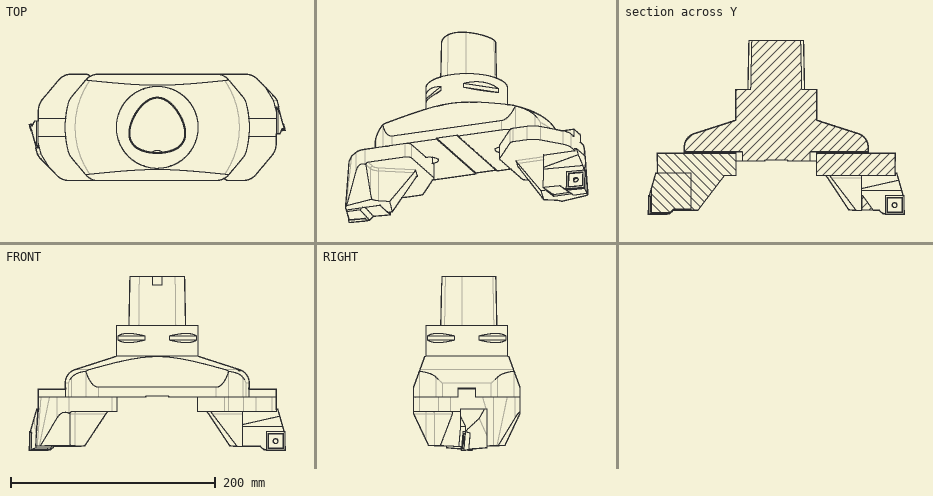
import cadquery as cq
import math


HALF_WIDTH = 52.0
CHAMFER_ANGLE = 50.0
CORNER_R = 16.0
FAR = 500.0

HOUSING_R = 90.0
CHAMFER_START_X = 65.0
SHOULDER_Z = 40.0
CONE_EDGE_R = 80.2
CONE_EDGE_Z = 27.0
DRAFT_Z = 9.7
DRAFT_ANGLE = 20.0
COLLAR_R = 40.0
COLLAR_TOP_Z = 70.0
RELIEF_WIDTH = 22.0
RELIEF_DEPTH = 1.0

GROOVE_Z = 57.7
GROOVE_FLOOR_R = 35.5
GROOVE_FLOOR_HEIGHT = 4.0
GROOVE_MOUTH_HEIGHT = 9.0
GROOVE_TURNS = (45, 135, 225, 315)

SHANK_LENGTH = 48.0
SHANK_MEAN_R = 27.5
LOBE_HEIGHT = 2.0
SHANK_TAPER = 1.0
LOBE_HALF_ANGLE = 24.0
LOBE_TURNS = (0, 120, 240)
CURVE_STEPS = 8
NOTCH_R = 7.0
NOTCH_DEPTH = 8.5
NOTCH_FLOOR_Y = -22.5

SLIDE_INNER_X = 39.2
SLIDE_OUTER_X = 116.2
PLATE_THICKNESS = 14.0
KEY_WIDTH = 17.5
KEY_HEIGHT = 7.7
SLOT_DEPTH = 9.0
PLAIN_CHAMFER_X = 91.5
INNER_CHAMFER_X = 67.0
INNER_CHAMFER_ANGLE = 55.0
INNER_CORNER_R = 5.0
OUTER_CORNER_R = 18.0
FOOT_BOTTOM_Z = -48.2
UNDERSIDE_RISE = 1.5
BEVEL_POINTS = [(85.0, 37.2, -47.5), (114.0, 30.5, -47.5), (85.0, HALF_WIDTH, -16.2)]
FOOT_BACK_X = 85.2
WALL_ANGLE = 30.0
WALL_CORNER_Y = 34.2
WALL_CORNER_R = 10.0
FOOT_FRONT_Y = 0.0
END_PLANE_ANGLE = 15.0
END_PLANE_LEAN = 36.4
END_PLANE_REACH = 50.2
UNDERCUT_R = 2.2

CARTRIDGE_INNER_X = 83.2
CARTRIDGE_TOP_Z = -11.7
CARTRIDGE_BOTTOM_Z = -47.7
CARTRIDGE_FRONT_Y = -6.2
CARTRIDGE_BACK_Y = 20.0
CARTRIDGE_BLANK_X = 130.0
STEP_INNER_Z = -26.7
STEP_BLANK_Z = -16.2
TOP_FACET_X = 117.7
TOP_FACET_LEAN = 16.0
FLANK_X = 124.2
FLANK_Y = -2.5
FLANK_ANGLE = 15.0
CORNER_FACET_POINTS = [(117.7, 17.2, CARTRIDGE_TOP_Z), (120.5, 11.7, -21.0), (118.2, CARTRIDGE_BACK_Y, -38.5)]
RAMP_START_X = 100.2
RAMP_END_X = 104.2
NOSE_Z = -51.2
RAKE_TOP_Z = -28.5
RAKE_START_Y = -6.0
RADIAL_RAKE = 7.0
AXIAL_RAKE = 5.0
RELIEF_ANGLE = 4.5

TIP_X = 125.0
TIP_Z = -52.0
INSERT_SIZE = 18.5
INSERT_THICKNESS = 5.0
INSERT_CLEARANCE = 11.0
INSERT_HOLE_D = 4.7
INSERT_HOLE_DEPTH = 2.5
RECESS_SIZE = 15.0
RECESS_DEPTH = 0.5
RECESS_WALL_ANGLE = 45.0


def tan(angle):
    return math.tan(math.radians(angle))


def half_space(point, normal):
    """A large block that lies wholly on the outward side of a plane."""
    return cq.Workplane(cq.Plane(origin=point, normal=normal)).rect(FAR, FAR).extrude(FAR)


def beyond_plane(a, b, c):
    """Half space outside the plane through three points, on its +X side."""
    corner = cq.Vector(a)
    normal = (cq.Vector(b) - corner).cross(cq.Vector(c) - corner)
    if normal.x < 0:
        normal = normal * -1
    return half_space(a, normal.toTuple())


def block(x0, x1, y0, y1, z0, z1):
    return cq.Workplane("XY").box(x1 - x0, y1 - y0, z1 - z0, centered=False).translate((x0, y0, z0))


def both_sides(body):
    return [body.rotate((0, 0, 0), (0, 0, 1), turn) for turn in (0, 180)]



def housing_base():
    apex_x = CHAMFER_START_X + HALF_WIDTH / tan(CHAMFER_ANGLE)
    plan = [
        (CHAMFER_START_X, HALF_WIDTH), (apex_x, 0), (CHAMFER_START_X, -HALF_WIDTH),
        (-CHAMFER_START_X, -HALF_WIDTH), (-apex_x, 0), (-CHAMFER_START_X, HALF_WIDTH),
    ]
    prism = cq.Workplane("XY").polyline(plan).close().extrude(SHOULDER_Z)
    prism = prism.intersect(cq.Workplane("XY").circle(HOUSING_R).extrude(SHOULDER_Z))
    prism = prism.edges("|Z").fillet(CORNER_R)

    slope = math.atan2(SHOULDER_Z - CONE_EDGE_Z, CONE_EDGE_R - COLLAR_R)
    rim_r = (HOUSING_R - CONE_EDGE_R) / (1 - math.sin(slope))
    rim_z = CONE_EDGE_Z - rim_r * math.cos(slope)
    rim_middle = (math.pi / 2 - slope) / 2
    rim_point = (HOUSING_R - rim_r + rim_r * math.cos(rim_middle), rim_z + rim_r * math.sin(rim_middle))
    dome = (
        cq.Workplane("XZ").lineTo(HOUSING_R, 0).lineTo(HOUSING_R, rim_z)
        .threePointArc(rim_point, (CONE_EDGE_R, CONE_EDGE_Z))
        .lineTo(COLLAR_R, SHOULDER_Z).lineTo(0, SHOULDER_Z).close().revolve()
    )
    base = prism.intersect(dome)
    for side in (1, -1):
        base = base.cut(half_space((0, side * HALF_WIDTH, DRAFT_Z), (0, side, tan(DRAFT_ANGLE))))
    return base


def collar():
    body = cq.Workplane("XY").workplane(offset=SHOULDER_Z).circle(COLLAR_R).extrude(COLLAR_TOP_Z - SHOULDER_Z)
    mouth_slope = (GROOVE_MOUTH_HEIGHT - GROOVE_FLOOR_HEIGHT) / 2 / (COLLAR_R - GROOVE_FLOOR_R)
    floor = GROOVE_FLOOR_HEIGHT / 2
    depth = 2 * (COLLAR_R - GROOVE_FLOOR_R)
    mouth = floor + depth * mouth_slope
    groove = (
        cq.Workplane("XZ")
        .polyline([(0, -floor), (depth, -mouth), (depth, mouth), (0, floor)]).close()
        .extrude(COLLAR_R, both=True).translate((GROOVE_FLOOR_R, 0, GROOVE_Z))
    )
    for turn in GROOVE_TURNS:
        body = body.cut(groove.rotate((0, 0, 0), (0, 0, 1), turn))
    return body


def shank_point(radius, angle):
    """Point of the three-lobed outline; angle 0 is the tip of the lobe at +Y."""
    a = math.radians(angle)
    return (
        -radius * math.sin(a) + LOBE_HEIGHT * math.sin(2 * a),
        radius * math.cos(a) + LOBE_HEIGHT * math.cos(2 * a),
    )


def shank_outline(radius, z):
    """Lobes and flanks in turn, each one smooth curve."""
    bounds = []
    for lobe in LOBE_TURNS:
        bounds += [lobe - LOBE_HALF_ANGLE, lobe + LOBE_HALF_ANGLE]
    bounds.append(bounds[0] + 360)
    edges = []
    for start, end in zip(bounds, bounds[1:]):
        angles = [start + (end - start) * i / CURVE_STEPS for i in range(CURVE_STEPS + 1)]
        points = [cq.Vector(*shank_point(radius, angle), z) for angle in angles]
        edges.append(cq.Edge.makeSpline(points))
    return cq.Wire.assembleEdges(edges)


def shank():
    tip_z = COLLAR_TOP_Z + SHANK_LENGTH
    body = cq.Workplane(cq.Solid.makeLoft([
        shank_outline(SHANK_MEAN_R, COLLAR_TOP_Z),
        shank_outline(SHANK_MEAN_R - SHANK_TAPER, tip_z),
    ], True))
    notch = (
        cq.Workplane("XY").workplane(offset=tip_z - NOTCH_DEPTH)
        .center(0, NOTCH_FLOOR_Y - NOTCH_R).circle(NOTCH_R).extrude(NOTCH_DEPTH)
    )
    return body.cut(notch)


def key_slot():
    """Slot for one slide key, open at the end of the housing and round at its inner end."""
    length = HOUSING_R + CORNER_R - SLIDE_INNER_X
    slot = block(SLIDE_INNER_X, SLIDE_INNER_X + length, -KEY_WIDTH / 2, KEY_WIDTH / 2, 0, SLOT_DEPTH)
    round_end = cq.Workplane("XY").center(SLIDE_INNER_X, 0).circle(KEY_WIDTH / 2).extrude(SLOT_DEPTH)
    return slot.union(round_end)


def make_housing():
    body = housing_base().union(collar()).union(shank())
    for slot in both_sides(key_slot()):
        body = body.cut(slot)
    relief = block(-RELIEF_WIDTH / 2, RELIEF_WIDTH / 2, -HALF_WIDTH, HALF_WIDTH, 0, RELIEF_DEPTH)
    return body.cut(relief)



TOOL_SIDE_START = (93.0, HALF_WIDTH)
FLARE_START = (105.2, 39.5)
FLARE_BEND = (113.5, 26.0)
FLARE_END = (SLIDE_OUTER_X, 15.5)
FLARE_BEND_AT_BOTTOM = (117.2, 26.0)
FLARE_REACH = 30.0


def slide_plate():
    plain_end_y = (SLIDE_OUTER_X - PLAIN_CHAMFER_X) * tan(CHAMFER_ANGLE) - HALF_WIDTH
    inner_end_y = (INNER_CHAMFER_X - SLIDE_INNER_X) * tan(INNER_CHAMFER_ANGLE) - HALF_WIDTH
    inner_corner = (SLIDE_INNER_X, HALF_WIDTH)
    outer_corner = (SLIDE_OUTER_X, plain_end_y)
    plain_corner = (PLAIN_CHAMFER_X, -HALF_WIDTH)
    cut_corner = (INNER_CHAMFER_X, -HALF_WIDTH)
    plan = [
        inner_corner, TOOL_SIDE_START, FLARE_START, FLARE_BEND, FLARE_END,
        outer_corner, plain_corner, cut_corner, (SLIDE_INNER_X, inner_end_y),
    ]
    plate = cq.Workplane("XY").polyline(plan).close().extrude(-PLATE_THICKNESS)
    roundings = [
        (TOOL_SIDE_START, CORNER_R), (outer_corner, OUTER_CORNER_R), (plain_corner, CORNER_R),
        (inner_corner, INNER_CORNER_R), (cut_corner, INNER_CORNER_R),
    ]
    for (x, y), radius in roundings:
        nearest = cq.selectors.NearestToPointSelector((x, y, -PLATE_THICKNESS / 2))
        plate = plate.edges("|Z").edges(nearest).fillet(radius)
    return plate


def foot():
    web_x = SLIDE_INNER_X
    web_y = WALL_CORNER_Y - (FOOT_BACK_X - web_x) * tan(WALL_ANGLE)
    chamfer_slope = (FLARE_START[1] - HALF_WIDTH) / (FLARE_START[0] - TOOL_SIDE_START[0])
    chamfer_end = (TOOL_SIDE_START[0] + FLARE_REACH, HALF_WIDTH + FLARE_REACH * chamfer_slope)
    plan = [
        (web_x, FOOT_FRONT_Y), (web_x, web_y), (FOOT_BACK_X, WALL_CORNER_Y), (FOOT_BACK_X, HALF_WIDTH),
        TOOL_SIDE_START, chamfer_end, (chamfer_end[0], FOOT_FRONT_Y),
    ]
    body = cq.Workplane("XY").polyline(plan).close().extrude(FOOT_BOTTOM_Z)
    roundings = [(TOOL_SIDE_START, CORNER_R), ((FOOT_BACK_X, WALL_CORNER_Y), WALL_CORNER_R)]
    for (x, y), radius in roundings:
        nearest = cq.selectors.NearestToPointSelector((x, y, FOOT_BOTTOM_Z / 2))
        body = body.edges("|Z").edges(nearest).fillet(radius)

    for corner in (FLARE_START, FLARE_END):
        body = body.cut(beyond_plane((*FLARE_BEND, 0), (*corner, 0), (*FLARE_BEND_AT_BOTTOM, FOOT_BOTTOM_Z)))

    body = body.cut(block(SLIDE_OUTER_X, FAR, FOOT_FRONT_Y, CARTRIDGE_BACK_Y, CARTRIDGE_TOP_Z, 0))
    body = body.cut(beyond_plane(*BEVEL_POINTS))
    body = body.cut(half_space((0, FOOT_FRONT_Y, FOOT_BOTTOM_Z), (0, tan(UNDERSIDE_RISE), -1)))

    turn = math.radians(END_PLANE_ANGLE)
    end_point = (END_PLANE_REACH * math.cos(turn), END_PLANE_REACH * math.sin(turn), -PLATE_THICKNESS)
    end_normal = (-math.cos(turn), -math.sin(turn), -tan(END_PLANE_LEAN))
    return body.cut(half_space(end_point, end_normal))


def make_slide():
    body = slide_plate().union(foot())
    web_middle_x = (SLIDE_INNER_X + FOOT_BACK_X) / 2
    web_back_y = WALL_CORNER_Y - (FOOT_BACK_X - web_middle_x) * tan(WALL_ANGLE)
    front_middle_x = (SLIDE_INNER_X + SLIDE_OUTER_X) / 2
    for x, y in ((web_middle_x, web_back_y), (front_middle_x, FOOT_FRONT_Y)):
        nearest = cq.selectors.NearestToPointSelector((x, y, -PLATE_THICKNESS))
        body = body.edges(nearest).fillet(UNDERCUT_R)

    key = block(SLIDE_INNER_X, SLIDE_OUTER_X, -KEY_WIDTH / 2, KEY_WIDTH / 2, 0, KEY_HEIGHT)
    pocket = block(CARTRIDGE_INNER_X, FAR, CARTRIDGE_FRONT_Y, CARTRIDGE_BACK_Y, -FAR, CARTRIDGE_TOP_Z)
    return body.cut(pocket).union(key)



def rake_y(x, z):
    """Y of the tilted rake plane."""
    return (
        RAKE_START_Y + (x - CARTRIDGE_INNER_X) * tan(RADIAL_RAKE) + (z - RAKE_TOP_Z) * tan(AXIAL_RAKE)
    )


def insert_face():
    """Workplane on the rake plane, centred on the insert whose outer lower corner is the cutting tip."""
    rake_plane = cq.Plane(
        origin=(TIP_X, rake_y(TIP_X, TIP_Z), TIP_Z),
        xDir=(1, tan(RADIAL_RAKE), 0),
        normal=(tan(RADIAL_RAKE), -1, tan(AXIAL_RAKE)),
    )
    return cq.Workplane(rake_plane).center(-INSERT_SIZE / 2, INSERT_SIZE / 2)


def insert_blank():
    """Square insert with tapered flanks."""
    return insert_face().rect(INSERT_SIZE, INSERT_SIZE).extrude(-INSERT_THICKNESS, taper=INSERT_CLEARANCE)


def make_insert():
    recess = insert_face().rect(RECESS_SIZE, RECESS_SIZE).extrude(-RECESS_DEPTH, taper=RECESS_WALL_ANGLE)
    hole = insert_face().circle(INSERT_HOLE_D / 2).extrude(-INSERT_HOLE_DEPTH)
    return insert_blank().cut(recess).cut(hole)



def cartridge_section(x, step_z):
    """Upright section with a flat front above, a step and the rake face below."""
    points = [
        (CARTRIDGE_BACK_Y, CARTRIDGE_TOP_Z), (CARTRIDGE_FRONT_Y, CARTRIDGE_TOP_Z),
        (CARTRIDGE_FRONT_Y, step_z), (rake_y(x, RAKE_TOP_Z), RAKE_TOP_Z),
        (rake_y(x, TIP_Z), TIP_Z), (CARTRIDGE_BACK_Y, TIP_Z),
    ]
    return cq.Wire.makePolygon([cq.Vector(x, y, z) for y, z in points], close=True)


def make_cartridge():
    body = cq.Workplane(cq.Solid.makeLoft([
        cartridge_section(CARTRIDGE_INNER_X, STEP_INNER_Z),
        cartridge_section(CARTRIDGE_BLANK_X, STEP_BLANK_Z),
    ], True))

    body = body.cut(half_space((TOP_FACET_X, 0, CARTRIDGE_TOP_Z), (1, 0, tan(TOP_FACET_LEAN))))
    body = body.cut(half_space((FLANK_X, FLANK_Y, 0), (1, tan(FLANK_ANGLE), 0)))
    body = body.cut(beyond_plane(*CORNER_FACET_POINTS))

    underside = [
        (0, CARTRIDGE_BOTTOM_Z), (RAMP_START_X, CARTRIDGE_BOTTOM_Z), (RAMP_END_X, NOSE_Z), (FAR, NOSE_Z),
        (FAR, -FAR), (0, -FAR),
    ]
    clearance = cq.Workplane("XZ").polyline(underside).close().extrude(FAR, both=True)
    clearance = clearance.rotate((0, FLANK_Y, NOSE_Z), (1, FLANK_Y, NOSE_Z), RELIEF_ANGLE)
    return body.cut(clearance).cut(insert_blank())


housing = make_housing()
slides = both_sides(make_slide())
cartridges = both_sides(make_cartridge())
inserts = both_sides(make_insert())

bodies = [housing, *slides, *cartridges, *inserts]
result = cq.Compound.makeCompound([body.solids().val() for body in bodies])